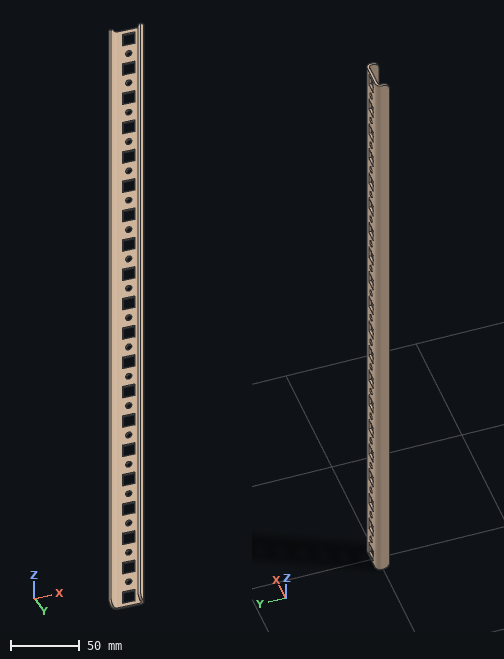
import cadquery as cq

width = 25.0
depth = 10.0
length = 491.0

sheet = 2.0
inner_bend = 2.0
outer_bend = inner_bend + sheet
lip_corner_radius = 5.0

square_count = 20
square_pitch = 25.0
square_side = 9.5
round_diameter = 4.6
first_square_z = (length - (square_count - 1) * square_pitch) / 2


def channel():
    """U channel with its web on the +Y side and its flanges pointing to -Y."""
    outer = (
        cq.Workplane("XY")
        .box(width, depth, length, centered=(True, False, False))
        .edges("|Z and >Y")
        .fillet(outer_bend)
    )
    inner = (
        cq.Workplane("XY")
        .box(width - 2 * sheet, depth - sheet, length, centered=(True, False, False))
        .edges("|Z and >Y")
        .fillet(inner_bend)
    )
    return outer.cut(inner)


def round_lip_corners(body):
    """Round the free corners at both ends of each flange."""
    return body.edges("|X and <Y").edges("<Z or >Z").fillet(lip_corner_radius)


def web_points(count, first_z):
    """Points on the web centre line, one square pitch apart."""
    return [(0, first_z + i * square_pitch) for i in range(count)]


def square_holes():
    return (
        cq.Workplane("XZ")
        .pushPoints(web_points(square_count, first_square_z))
        .rect(square_side, square_side)
        .extrude(-depth)
    )


def round_holes():
    return (
        cq.Workplane("XZ")
        .pushPoints(web_points(square_count - 1, first_square_z + square_pitch / 2))
        .circle(round_diameter / 2)
        .extrude(-depth)
    )


result = round_lip_corners(channel()).cut(square_holes()).cut(round_holes())